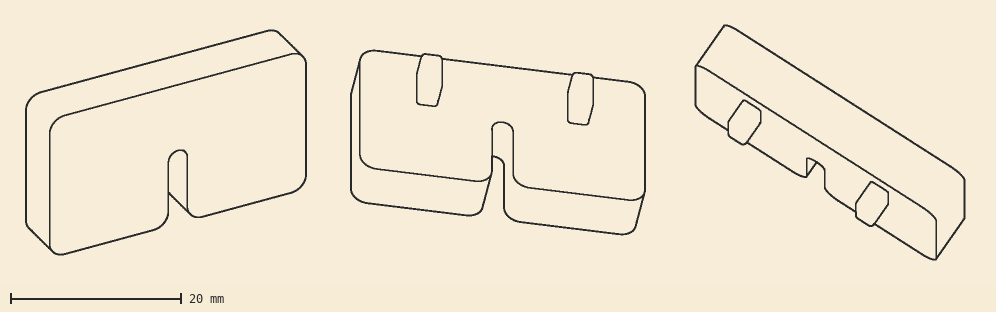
import cadquery as cq

plate_thickness = 6.0
plate_width = 34.0
plate_height = 19.0
corner_radius = 2.0

slot_width = 2.5
slot_depth = 10.0
slot_mouth_radius = 2.0

peg_length = 3.5
peg_width = 2.5
peg_height = 5.2
peg_spacing = 18.0
peg_center_below_top = 5.2
peg_edge_radius = 0.5


def make_plate():
    """Upright plate with rounded corners; its -X face lies on X = 0."""
    plate = cq.Workplane("XY").box(
        plate_thickness, plate_width, plate_height, centered=(False, True, False)
    )
    return plate.edges("|X").fillet(corner_radius)


def make_slot():
    """Round-ended slot cutter whose mouth flares into the bottom edge."""
    half_width = slot_width / 2
    mouth_half_width = half_width + slot_mouth_radius
    return (
        cq.Workplane("YZ")
        .moveTo(-mouth_half_width, 0)
        .radiusArc((-half_width, slot_mouth_radius), -slot_mouth_radius)
        .lineTo(-half_width, slot_depth - half_width)
        .threePointArc((0, slot_depth), (half_width, slot_depth - half_width))
        .lineTo(half_width, slot_mouth_radius)
        .radiusArc((mouth_half_width, 0), -slot_mouth_radius)
        .close()
        .extrude(plate_thickness)
    )


def make_peg(center_y):
    """Rectangular peg standing on the -X face, all free edges rounded."""
    center_z = plate_height - peg_center_below_top
    peg = cq.Workplane("XY").box(
        peg_length, peg_width, peg_height, centered=(False, True, True)
    )
    peg = peg.edges("|X or <X").fillet(peg_edge_radius)
    return peg.translate((-peg_length, center_y, center_z))


result = make_plate().cut(make_slot())
for side in (-1, 1):
    result = result.union(make_peg(side * peg_spacing / 2))